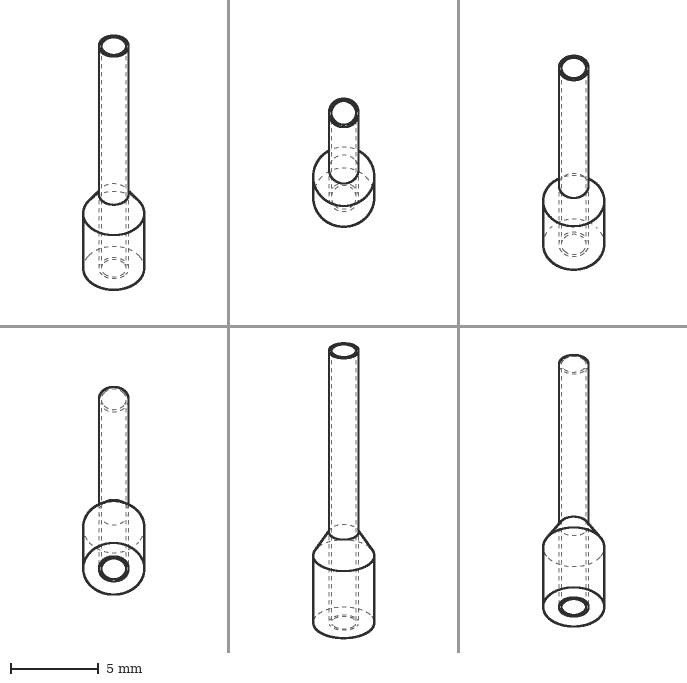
import cadquery as cq

total_length = 18.0
tube_diameter = 1.7
bore_diameter = 1.4
collar_diameter = 3.5
exposed_tube_length = 12.0
collar_straight_length = 4.45

tube_radius = tube_diameter / 2
collar_radius = collar_diameter / 2
collar_height = total_length - exposed_tube_length


def make_tube():
    """Thin straight tube, open at both ends."""
    return (
        cq.Workplane("XY")
        .circle(tube_radius)
        .circle(bore_diameter / 2)
        .extrude(total_length)
    )


def make_collar():
    """Insulating collar around the tube, tapering to the tube's surface at its top."""
    return (
        cq.Workplane("XZ")
        .moveTo(tube_radius, 0)
        .lineTo(collar_radius, 0)
        .lineTo(collar_radius, collar_straight_length)
        .lineTo(tube_radius, collar_height)
        .close()
        .revolve(360, (0, 0, 0), (0, 1, 0))
    )


tube = make_tube()
collar = make_collar()

result = cq.Compound.makeCompound([tube.val(), collar.val()])